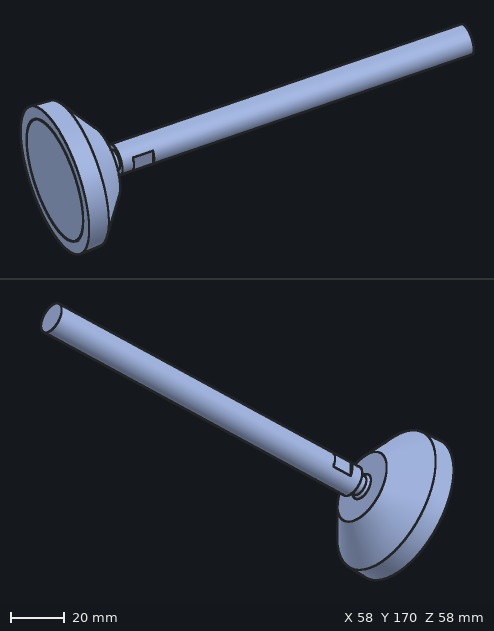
import cadquery as cq

total_length = 170.0

foot_diameter = 58.0
rim_top_diameter = 57.1
cone_top_diameter = 28.5
rim_height = 8.3
foot_height = 20.0

recess_diameter = 48.0
pad_diameter = 47.5
pad_thickness = 4.0

stem_diameter = 12.0
stem_start = 25.0
neck_diameter = 7.8
neck_fillet = 1.2

flats_start = 29.8
flats_length = 8.3
across_flats = 10.0


def make_disc(diameter, thickness):
    """Disc about the Y axis, from Y = 0 up to its thickness."""
    return cq.Workplane("XZ").circle(diameter / 2).extrude(-thickness)


def make_flat_cutter(side):
    """Block that removes the stem beyond one wrench flat; side is -1 or +1."""
    cutter_width = stem_diameter
    return cq.Workplane("XY").box(cutter_width, flats_length, stem_diameter).translate(
        (side * (across_flats + cutter_width) / 2, flats_start + flats_length / 2, 0)
    )


def make_turned_foot():
    """Drafted rim, cone, filleted neck and stem, revolved about the Y axis."""
    neck_radius = neck_diameter / 2
    stem_radius = stem_diameter / 2
    return (
        cq.Workplane("XY")
        .moveTo(0, 0)
        .lineTo(foot_diameter / 2, 0)
        .lineTo(rim_top_diameter / 2, rim_height)
        .lineTo(cone_top_diameter / 2, foot_height)
        .lineTo(neck_radius + neck_fillet, foot_height)
        .radiusArc((neck_radius, foot_height + neck_fillet), -neck_fillet)
        .lineTo(neck_radius, stem_start)
        .lineTo(stem_radius, stem_start)
        .lineTo(stem_radius, total_length)
        .lineTo(0, total_length)
        .close()
        .revolve(360, (0, 0, 0), (0, 1, 0))
    )


def make_foot():
    """Foot and stem in one piece, with the pad recess and the wrench flats."""
    body = make_turned_foot().cut(make_disc(recess_diameter, pad_thickness))
    for side in (-1, 1):
        body = body.cut(make_flat_cutter(side))
    return body


def make_pad():
    """Round pad, flush with the underside of the foot."""
    return make_disc(pad_diameter, pad_thickness)


foot = make_foot()
pad = make_pad()

result = cq.Compound.makeCompound([foot.val(), pad.val()])